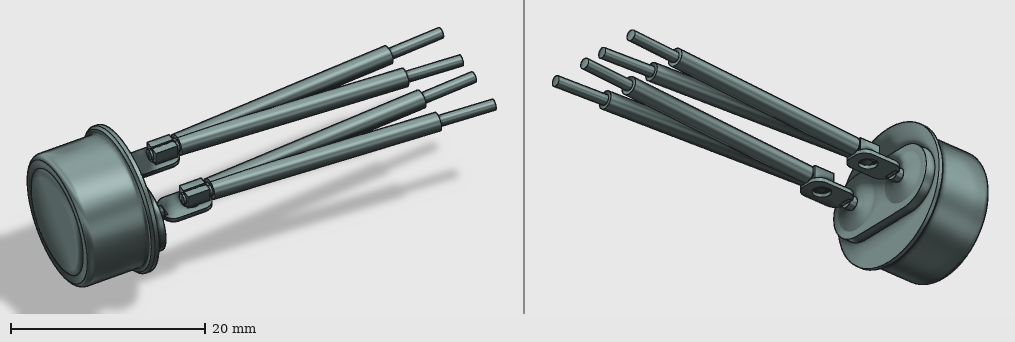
import cadquery as cq
import math

overall_length = 47.85
flange_diameter = 16.1

can_diameter = 14.55
can_face_y = 0.35
can_edge_width = 0.55
can_edge_depth = 0.7
flange_back_y = 8.0
flange_rim = 0.5
flange_bevel = 0.3
flange_root_fillet = 0.3
raised_face_radius = 5.0
raised_edge_radius = 5.7
raised_edge_y = 0.25
raised_edge_sag = 0.05
raised_root_radius = 5.85

terminal_offset = 3.7
header_end_radius = 3.7
header_back_y = 9.15
meniscus_radius = 2.85
meniscus_height = 0.57
meniscus_sag = 0.1

pin_diameter = 1.55
pin_end_y = 10.6
weld_length = 0.3
weld_width = 1.55
weld_thickness = 0.65
blade_thickness = 0.5
blade_width = 3.45
blade_corner = 1.3
blade_start_y = 10.4
blade_end_y = 16.0
blade_hole_diameter = 2.0
blade_hole_y = 13.9
barrel_width = 1.9
barrel_front_y = 13.1
barrel_back_y = 15.65
barrel_top_z = 1.8
barrel_inset = 0.07
barrel_slit = 0.2

core_diameter = 1.2
sheath_diameter = 2.0
wire_z = 0.9
wire_tip_y = 12.87
wire_spread = 2.3
sheath_gap = 3.25
bare_end_length = 6.3

pin_start_y = header_back_y + meniscus_height
pin_radius = pin_diameter / 2
wire_angle = math.atan(wire_spread / (overall_length - wire_tip_y))
wire_rise = overall_length - wire_tip_y - core_diameter / 2 * math.sin(wire_angle)
wire_length = wire_rise / math.cos(wire_angle)
sheath_length = wire_length - sheath_gap - bare_end_length


def cylinder_along_y(diameter, length, start_y):
    plane = cq.Plane(origin=(0, start_y, 0), xDir=(1, 0, 0), normal=(0, 1, 0))
    return cq.Workplane(plane).circle(diameter / 2).extrude(length)


def make_can():
    """Solid of revolution: raised front face, rounded front edge, rear flange."""
    can_radius = can_diameter / 2
    flange_radius = flange_diameter / 2
    can_edge_radius = (can_edge_width**2 + can_edge_depth**2) / (2 * can_edge_width)
    bevel_start_y = flange_back_y - flange_rim
    flange_front_y = bevel_start_y - flange_bevel
    profile = (
        cq.Workplane("XY")
        .lineTo(raised_face_radius, 0)
        .sagittaArc((raised_edge_radius, raised_edge_y), -raised_edge_sag)
        .lineTo(raised_root_radius, can_face_y)
        .lineTo(can_radius - can_edge_width, can_face_y)
        .radiusArc((can_radius, can_face_y + can_edge_depth), -can_edge_radius)
        .lineTo(can_radius, flange_front_y - flange_root_fillet)
        .radiusArc((can_radius + flange_root_fillet, flange_front_y), flange_root_fillet)
        .lineTo(flange_radius - flange_bevel, flange_front_y)
        .lineTo(flange_radius, bevel_start_y)
        .lineTo(flange_radius, flange_back_y)
        .lineTo(0, flange_back_y)
        .close()
    )
    return profile.revolve(360, (0, 0, 0), (0, 1, 0))


def make_header():
    """Stadium-shaped block with a hollow-sided mound around each pin."""
    back_plane = cq.Plane(origin=(0, flange_back_y, 0), xDir=(1, 0, 0), normal=(0, 1, 0))
    header = (
        cq.Workplane(back_plane)
        .slot2D(2 * (terminal_offset + header_end_radius), 2 * header_end_radius)
        .extrude(header_back_y - flange_back_y)
    )
    mound = (
        cq.Workplane("XY")
        .moveTo(0, flange_back_y)
        .lineTo(meniscus_radius, flange_back_y)
        .lineTo(meniscus_radius, header_back_y)
        .sagittaArc((pin_radius, pin_start_y), meniscus_sag)
        .lineTo(0, pin_start_y)
        .close()
        .revolve(360, (0, 0, 0), (0, 1, 0))
    )
    for side in (-1, 1):
        header = header.union(mound.translate((side * terminal_offset, 0, 0)))
    return header


def make_wire(terminal_side, spread_side):
    """Sheathed wire with bare ends, cut flat where it lies against its partner."""
    core = cylinder_along_y(core_diameter, wire_length, 0)
    sheath = cylinder_along_y(sheath_diameter, sheath_length, sheath_gap)
    pair_x = terminal_side * terminal_offset
    wire = (
        core.union(sheath)
        .rotate((0, 0, 0), (0, 0, 1), -spread_side * math.degrees(wire_angle))
        .translate((pair_x, wire_tip_y, wire_z))
    )
    half_space = cq.Workplane("XY").box(overall_length, 3 * overall_length, overall_length)
    half_space = half_space.translate((pair_x + spread_side * overall_length / 2, 0, 0))
    return wire.intersect(half_space)


def make_terminal(terminal_side, pair_wires):
    """Pin, flat blade with a hole, and a slit crimp barrel that holds two wires."""
    pin = cylinder_along_y(pin_diameter, pin_end_y - pin_start_y, pin_start_y)
    weld = (
        cq.Workplane("YZ", origin=(-weld_width / 2, 0, 0))
        .moveTo(pin_end_y, -weld_thickness / 2)
        .lineTo(pin_end_y + weld_length, -blade_thickness / 2)
        .lineTo(pin_end_y + weld_length, blade_thickness / 2)
        .lineTo(pin_end_y, weld_thickness / 2)
        .close()
        .extrude(weld_width)
    )
    blade_length = blade_end_y - blade_start_y
    blade = (
        cq.Workplane("XY")
        .box(blade_width, blade_length, blade_thickness)
        .edges("|Z")
        .fillet(blade_corner)
        .translate((0, blade_start_y + blade_length / 2, 0))
    )
    blade_hole = (
        cq.Workplane("XY", origin=(0, blade_hole_y, -blade_thickness / 2))
        .circle(blade_hole_diameter / 2)
        .extrude(blade_thickness)
    )
    barrel_x = -terminal_side * barrel_inset
    barrel_length = barrel_back_y - barrel_front_y
    barrel_center_y = (barrel_front_y + barrel_back_y) / 2
    barrel_base_z = blade_thickness / 2
    barrel = cq.Workplane("XY").box(
        barrel_width, barrel_length, barrel_top_z - barrel_base_z, centered=(True, True, False)
    )
    slit = (
        cq.Workplane("XY", origin=(0, 0, wire_z - barrel_base_z))
        .box(barrel_slit, barrel_length, barrel_top_z - wire_z, centered=(True, True, False))
    )
    barrel = barrel.cut(slit).translate((barrel_x, barrel_center_y, barrel_base_z))
    terminal = pin.union(weld).union(blade.cut(blade_hole)).union(barrel)
    terminal = terminal.translate((terminal_side * terminal_offset, 0, 0))
    for wire in pair_wires:
        terminal = terminal.cut(wire)
    return terminal


can = make_can()
header = make_header()
terminals = []
wires = []
for terminal_side in (-1, 1):
    pair_wires = [make_wire(terminal_side, spread_side) for spread_side in (-1, 1)]
    wires.extend(pair_wires)
    terminals.append(make_terminal(terminal_side, pair_wires))

result = cq.Compound.makeCompound(
    [body.solids().val() for body in [can, header, *terminals, *wires]]
)